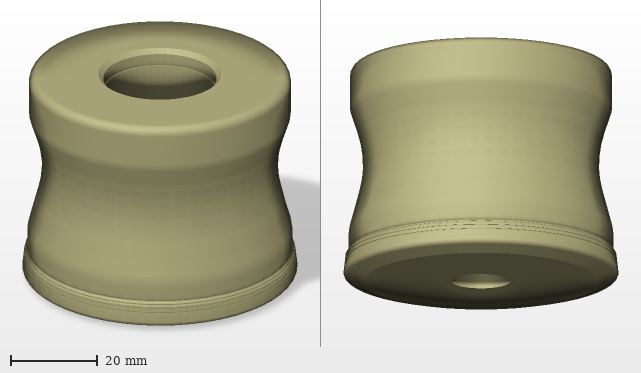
import cadquery as cq
import math

total_height = 50.8
base_radius = 31.75
base_height = 7.2

head_radius = 30.2
head_edge_fillet = 2.05
head_blend_radius = 5.0
upper_cone_angle = math.radians(18.4)
waist_radius = 27.25
waist_height = 27.7
waist_curve_radius = 25.0
lower_cone_angle = math.radians(15.0)
skirt_radius = 30.6
skirt_blend_radius = 9.85
skirt_edge_height = 0.25
skirt_edge_inset = 0.05

bore_radius = 12.65
counterbore_radius = 13.1
counterbore_depth = 3.9
mouth_chamfer = 1.1
bore_bottom_height = 38.05
cavity_radius = 13.8
cavity_flare_angle = math.radians(35)

recess_radius = 12.3
recess_chamfer = 0.4
recess_depth = 1.3
hole_radius = 6.8
hole_chamfer = 0.45
underside_radius = 26.8
underside_bevel_angle = math.radians(15.6)
base_edge_fillet = 1.0
base_side_taper = math.radians(5.7)
rim_radius = 31.3
rim_height = 6.1
rim_shoulder_radius = 30.85
rim_shoulder_height = 6.85
groove_width = 0.25
grooves = ((4.65, 31.3), (5.6, 31.2), (6.5, 30.9))


def sag(radius, angle):
    """Sideways travel of an arc that starts vertical and turns by the angle."""
    return radius * (1 - math.cos(angle))


def rise(radius, angle):
    """Vertical travel of an arc that starts vertical and turns by the angle."""
    return radius * math.sin(angle)


def waist_side(cone_angle, end_radius, blend_radius, direction):
    """Points from the waist to a cylinder above (+1) or below (-1) it.

    Returns the end of the waist arc, then the start, middle and end of the blend.
    """
    arc_end_radius = waist_radius + sag(waist_curve_radius, cone_angle)
    arc_end_travel = rise(waist_curve_radius, cone_angle)
    blend_start_radius = end_radius - sag(blend_radius, cone_angle)
    cone_length = (blend_start_radius - arc_end_radius) / math.tan(cone_angle)
    blend_start_travel = arc_end_travel + cone_length
    blend_end_travel = blend_start_travel + rise(blend_radius, cone_angle)
    blend_mid_radius = end_radius - sag(blend_radius, cone_angle / 2)
    blend_mid_travel = blend_end_travel - rise(blend_radius, cone_angle / 2)
    return [
        (arc_end_radius, waist_height + direction * arc_end_travel),
        (blend_start_radius, waist_height + direction * blend_start_travel),
        (blend_mid_radius, waist_height + direction * blend_mid_travel),
        (end_radius, waist_height + direction * blend_end_travel),
    ]


def revolve_profile(profile):
    return profile.close().revolve(360, (0, 0, 0), (0, 1, 0))


def make_housing_blank():
    """Solid waisted body, without its bore."""
    waist_low, low_start, low_mid, low_end = waist_side(
        lower_cone_angle, skirt_radius, skirt_blend_radius, -1
    )
    waist_high, high_start, high_mid, high_end = waist_side(
        upper_cone_angle, head_radius, head_blend_radius, 1
    )
    blank = revolve_profile(
        cq.Workplane("XZ")
        .moveTo(0, base_height)
        .lineTo(skirt_radius - skirt_edge_inset, base_height)
        .lineTo(skirt_radius, base_height + skirt_edge_height)
        .lineTo(*low_end)
        .threePointArc(low_mid, low_start)
        .lineTo(*waist_low)
        .threePointArc((waist_radius, waist_height), waist_high)
        .lineTo(*high_start)
        .threePointArc(high_mid, high_end)
        .lineTo(head_radius, total_height)
        .lineTo(0, total_height)
    )
    return blank.faces(">Z").edges().fillet(head_edge_fillet)


def make_bore():
    """Chamfered counterbore, bore and wider cavity, as one cutting tool."""
    counterbore_floor = total_height - counterbore_depth
    flare_height = (cavity_radius - bore_radius) / math.tan(cavity_flare_angle)
    return revolve_profile(
        cq.Workplane("XZ")
        .moveTo(0, base_height)
        .lineTo(cavity_radius, base_height)
        .lineTo(cavity_radius, bore_bottom_height - flare_height)
        .lineTo(bore_radius, bore_bottom_height)
        .lineTo(bore_radius, counterbore_floor)
        .lineTo(counterbore_radius, counterbore_floor)
        .lineTo(counterbore_radius, total_height - mouth_chamfer)
        .lineTo(counterbore_radius + mouth_chamfer, total_height)
        .lineTo(0, total_height)
    )


def make_housing():
    return make_housing_blank().cut(make_bore())


def make_groove(height, inner_radius):
    """Ring that cuts a shallow groove around the base rim, centered on the height."""
    ring_height = height - groove_width / 2
    return (
        cq.Workplane("XY", origin=(0, 0, ring_height))
        .circle(base_radius)
        .circle(inner_radius)
        .extrude(groove_width)
    )


def make_base():
    """Bevelled foot disc with a stepped rim and a central hole."""
    recess_floor = base_height - recess_depth
    fillet_center_radius = base_radius - base_edge_fillet
    fillet_start_radius = fillet_center_radius + base_edge_fillet * math.sin(underside_bevel_angle)
    fillet_start_height = (fillet_start_radius - underside_radius) * math.tan(underside_bevel_angle)
    widest_height = fillet_start_height + base_edge_fillet * math.cos(underside_bevel_angle)
    fillet_end_radius = fillet_center_radius + base_edge_fillet * math.cos(base_side_taper)
    fillet_end_height = widest_height + base_edge_fillet * math.sin(base_side_taper)
    base = revolve_profile(
        cq.Workplane("XZ")
        .moveTo(hole_radius, 0)
        .lineTo(underside_radius, 0)
        .lineTo(fillet_start_radius, fillet_start_height)
        .threePointArc((base_radius, widest_height), (fillet_end_radius, fillet_end_height))
        .lineTo(rim_radius, rim_height)
        .lineTo(rim_shoulder_radius, rim_shoulder_height)
        .lineTo(skirt_radius - skirt_edge_inset, base_height)
        .lineTo(recess_radius + recess_chamfer, base_height)
        .lineTo(recess_radius, base_height - recess_chamfer)
        .lineTo(recess_radius, recess_floor)
        .lineTo(hole_radius + hole_chamfer, recess_floor)
        .lineTo(hole_radius, recess_floor - hole_chamfer)
    )
    for height, inner_radius in grooves:
        base = base.cut(make_groove(height, inner_radius))
    return base


housing = make_housing()
base = make_base()
result = cq.Compound.makeCompound([housing.val(), base.val()])